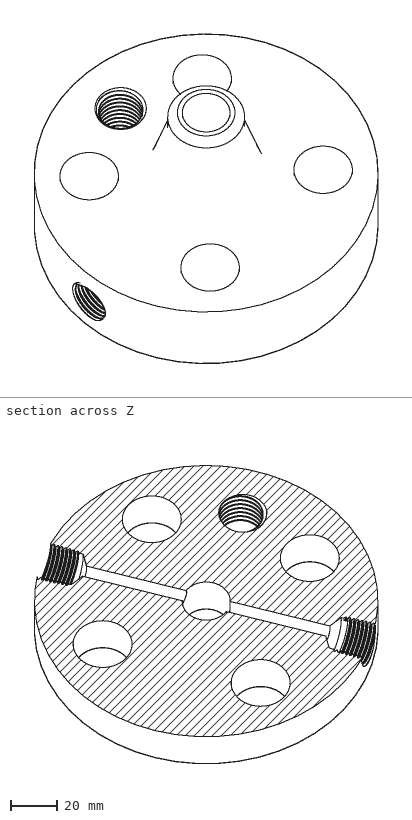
import cadquery as cq
import math

flange_diameter = 149.35
flange_thickness = 38.1
overall_height = 82.55
hub_base_diameter = 52.3
hub_fillet_radius = 3.0
pipe_diameter = 33.4
bore_diameter = 20.7
hub_taper_top = 72.9
weld_bevel_height = 3.1
weld_land_diameter = 25.0

bolt_circle_diameter = 101.6
bolt_hole_diameter = 25.4
bolt_count = 4

inch = 25.4
jack_major_diameter = 7 / 8 * inch
jack_pitch = inch / 9
jack_countersink_diameter = 22.3
jack_thread_start_angle = 180
thread_depth_ratio = 0.625 * math.sqrt(3) / 2
jack_minor_diameter = jack_major_diameter - 2 * thread_depth_ratio * jack_pitch

tap_height = 17.46
tap_pitch = inch / 14
tap_mouth_diameter = 18.5
tap_thread_length = 16.0
tap_taper_angle = math.degrees(math.atan(1 / 32))
tap_thread_depth = thread_depth_ratio * tap_pitch
tap_drill_point_angle = 118.0
tap_passage_diameter = 6.4

thread_flank_half_angle = 30.0
groove_root_flat_ratio = 1 / 8
groove_overlap = 0.1
full_turn = 360.0


def flange_with_neck():
    """Disc and tapered neck, filleted where they meet."""
    flange_radius = flange_diameter / 2
    pipe_radius = pipe_diameter / 2
    body = (
        cq.Workplane("XZ")
        .moveTo(0, 0)
        .lineTo(flange_radius, 0)
        .lineTo(flange_radius, flange_thickness)
        .lineTo(hub_base_diameter / 2, flange_thickness)
        .lineTo(pipe_radius, hub_taper_top)
        .lineTo(pipe_radius, overall_height - weld_bevel_height)
        .lineTo(weld_land_diameter / 2, overall_height)
        .lineTo(0, overall_height)
        .close()
        .revolve(360, (0, 0, 0), (0, 1, 0))
    )
    reach = hub_base_diameter / 2 + 1
    band = cq.selectors.BoxSelector(
        (-reach, -reach, flange_thickness - 1),
        (reach, reach, flange_thickness + 1),
        boundingbox=True,
    )
    return body.edges(band).fillet(hub_fillet_radius)


def thread_groove(start_radius, start_z, length, pitch, depth, taper_angle=full_turn):
    """Right-hand V groove winding up along Z; a positive taper widens it upwards."""
    helix = cq.Wire.makeHelix(pitch, length, start_radius, angle=taper_angle)
    root_half = groove_root_flat_ratio * pitch / 2
    flank_slope = math.tan(math.radians(thread_flank_half_angle))
    mouth_half = root_half + (depth + groove_overlap) * flank_slope
    inner = start_radius - groove_overlap
    outer = start_radius + depth
    groove = (
        cq.Workplane("XZ")
        .polyline([
            (inner, -mouth_half),
            (outer, -root_half),
            (outer, root_half),
            (inner, mouth_half),
        ])
        .close()
        .sweep(cq.Workplane(obj=helix), isFrenet=True)
    )
    return groove.translate((0, 0, start_z))


def jack_screw_cutters():
    """Thread groove, then the hole drilled through the disc and its 45 degree countersink."""
    radius = jack_minor_diameter / 2
    hole = cq.Workplane("XY").circle(radius).extrude(flange_thickness)
    groove = thread_groove(
        radius,
        -jack_pitch,
        flange_thickness + 2 * jack_pitch,
        jack_pitch,
        (jack_major_diameter - jack_minor_diameter) / 2,
    )
    countersink_radius = jack_countersink_diameter / 2
    countersink_depth = countersink_radius - radius
    countersink = cq.Workplane(
        obj=cq.Solid.makeCone(
            radius,
            countersink_radius,
            countersink_depth,
            cq.Vector(0, 0, flange_thickness - countersink_depth),
        )
    )
    groove = groove.rotate((0, 0, 0), (0, 0, 1), jack_thread_start_angle)
    position = (-bolt_circle_diameter / 2, 0, 0)
    return [cutter.translate(position) for cutter in (groove, hole, countersink)]


def pressure_tap_cutters():
    """Thread groove, tapered hole with drill point, and passage; opens towards -Y."""
    flange_radius = flange_diameter / 2
    thread_end = flange_radius - tap_thread_length
    taper_slope = math.tan(math.radians(tap_taper_angle))
    mouth_radius = tap_mouth_diameter / 2
    end_radius = mouth_radius - tap_thread_length * taper_slope
    outside = flange_radius + tap_pitch
    outside_radius = mouth_radius + tap_pitch * taper_slope
    point_length = end_radius / math.tan(math.radians(tap_drill_point_angle / 2))
    hole = (
        cq.Workplane("XZ")
        .polyline([
            (0, outside),
            (outside_radius, outside),
            (end_radius, thread_end),
            (0, thread_end - point_length),
        ])
        .close()
        .revolve(360, (0, 0, 0), (0, 1, 0))
    )
    passage = cq.Workplane("XY").circle(tap_passage_diameter / 2).extrude(thread_end)
    groove = thread_groove(
        end_radius + tap_pitch * taper_slope,
        thread_end + tap_pitch,
        tap_thread_length,
        tap_pitch,
        tap_thread_depth,
        tap_taper_angle,
    )
    return [
        cutter.rotate((0, 0, 0), (1, 0, 0), 90).translate((0, 0, tap_height))
        for cutter in (groove, hole, passage)
    ]


result = flange_with_neck()

bore = cq.Workplane("XY").circle(bore_diameter / 2).extrude(overall_height)
result = result.cut(bore)

bolt_holes = (
    cq.Workplane("XY")
    .polarArray(bolt_circle_diameter / 2, 180 / bolt_count, 360, bolt_count)
    .circle(bolt_hole_diameter / 2)
    .extrude(flange_thickness)
)
result = result.cut(bolt_holes)

for cutter in jack_screw_cutters():
    result = result.cut(cutter)

for side_angle in (0, 180):
    for cutter in pressure_tap_cutters():
        result = result.cut(cutter.rotate((0, 0, 0), (0, 0, 1), side_angle))